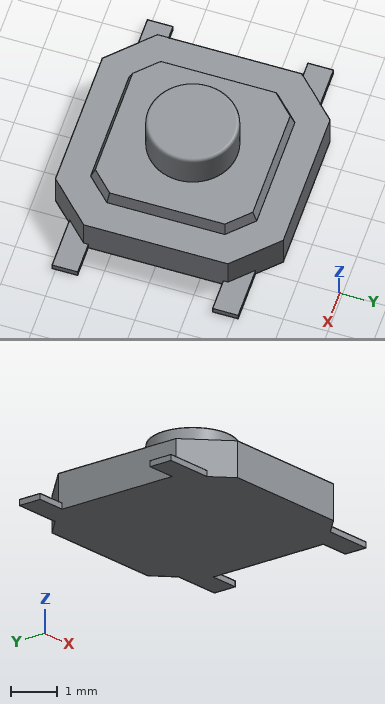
import cadquery as cq

lead_span = 6.58
body_width = 5.1
overall_height = 1.9

body_height = 0.84
body_corner_cut = 0.935

cover_base_width = 3.72
cover_top_width = 3.53
cover_height = 0.25
cover_base_corner_cut = 0.54
cover_top_corner_cut = 0.475

button_diameter = 2.01
button_edge_fillet = 0.07

lead_width = 0.57
lead_thickness = 0.14
lead_spacing = 3.59

cover_top = body_height + cover_height
button_height = overall_height - cover_top


def cut_corner_square(width, corner_cut):
    """Corner points of a centred square whose four corners are cut at 45 degrees."""
    edge = width / 2
    flat = edge - corner_cut
    return [
        (flat, -edge),
        (edge, -flat),
        (edge, flat),
        (flat, edge),
        (-flat, edge),
        (-edge, flat),
        (-edge, -flat),
        (-flat, -edge),
    ]


def make_body():
    outline = cut_corner_square(body_width, body_corner_cut)
    return cq.Workplane("XY").polyline(outline).close().extrude(body_height)


def make_cover():
    base = cut_corner_square(cover_base_width, cover_base_corner_cut)
    top = cut_corner_square(cover_top_width, cover_top_corner_cut)
    return (
        cq.Workplane("XY")
        .workplane(offset=body_height)
        .polyline(base)
        .close()
        .workplane(offset=cover_height)
        .polyline(top)
        .close()
        .loft(ruled=True)
    )


def make_button():
    return (
        cq.Workplane("XY")
        .workplane(offset=cover_top)
        .circle(button_diameter / 2)
        .extrude(button_height)
        .faces(">Z")
        .edges()
        .fillet(button_edge_fillet)
    )


def make_leads():
    """Two straight strips through the housing, each showing a lead at both ends."""
    return (
        cq.Workplane("XY")
        .rarray(0.065, lead_spacing, 1, 2)
        .rect(lead_span, lead_width)
        .extrude(lead_thickness)
    )


result = make_body().union(make_cover()).union(make_button()).union(make_leads())